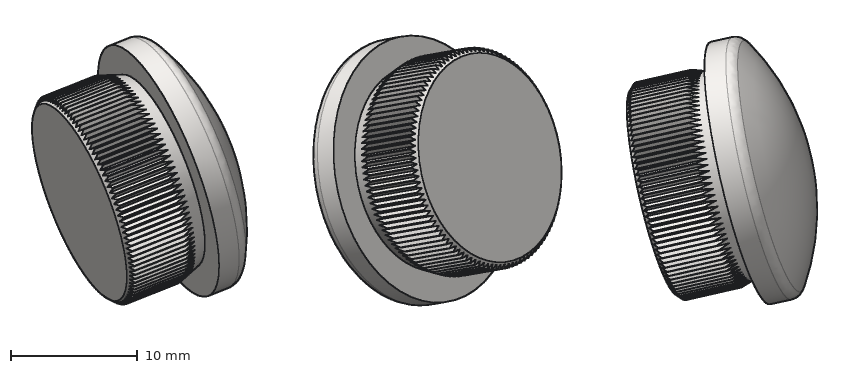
import cadquery as cq
import math

cap_radius = 10.65
total_length = 12.6
plug_length = 7.0
cap_height = total_length - plug_length

dome_radius = 18.75
rim_fillet = 1.0
dome_drop = dome_radius - math.sqrt(dome_radius**2 - cap_radius**2)
rim_height = cap_height - dome_drop

plug_radius = 8.85
neck_radius = 8.15
neck_length = 2.0
end_chamfer = 0.5

groove_count = 110
groove_depth = 0.32
groove_angle = 70.0


def make_cap():
    """Disc with a spherical outer face and a rounded rim."""
    half_radius = cap_radius / 2
    half_radius_drop = dome_radius - math.sqrt(dome_radius**2 - half_radius**2)
    profile = (
        cq.Workplane("XY")
        .lineTo(cap_radius, 0)
        .lineTo(cap_radius, rim_height)
        .threePointArc((half_radius, cap_height - half_radius_drop), (0, cap_height))
        .close()
    )
    cap = profile.revolve(360, (0, 0, 0), (0, 1, 0))
    rim_center = (0, rim_height, 0)
    return cap.edges(cq.selectors.NearestToPointSelector(rim_center)).fillet(rim_fillet)


def make_plug_blank():
    """Plain plug: tapered neck, cylinder and chamfered end."""
    profile = (
        cq.Workplane("XY")
        .lineTo(neck_radius, 0)
        .lineTo(plug_radius, -neck_length)
        .lineTo(plug_radius, end_chamfer - plug_length)
        .lineTo(plug_radius - end_chamfer, -plug_length)
        .lineTo(0, -plug_length)
        .close()
    )
    return profile.revolve(360, (0, 0, 0), (0, 1, 0))


def make_knurl_prism():
    """Star-shaped prism whose crests reach past the plug, so its cylinder leaves a narrow land on each."""
    root_radius = plug_radius - groove_depth
    half_pitch = math.pi / groove_count
    flank_slope = math.tan(math.radians(groove_angle / 2))
    half_pitch_slope = math.tan(half_pitch)
    crest_rise = root_radius * half_pitch_slope / (flank_slope - half_pitch_slope)
    crest_radius = (root_radius + crest_rise) / math.cos(half_pitch)

    points = []
    for groove in range(groove_count):
        root_angle = math.pi / 2 + 2 * groove * half_pitch
        for radius, angle in ((root_radius, root_angle), (crest_radius, root_angle + half_pitch)):
            points.append((radius * math.cos(angle), radius * math.sin(angle)))
    return cq.Workplane("XZ").polyline(points).close().extrude(plug_length)


plug = make_plug_blank().intersect(make_knurl_prism())
result = make_cap().union(plug)